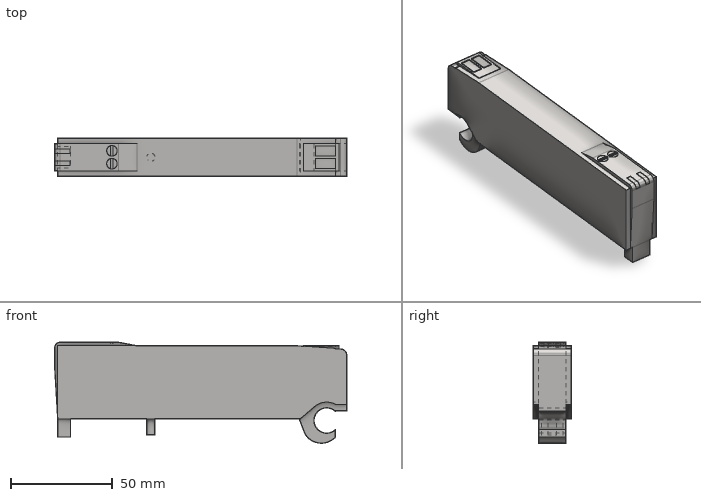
import cadquery as cq
import math

body_width = 18.8
body_left = 1.5
body_right = 143.8
body_bottom = 12.1
body_top = 48.0
slope_start = 119.4
end_block_left = 138.2
slope_end_height = 46.7
end_block_top = 46.5
end_corner_radius = 3.2

inner_width = 13.5
bore_x = 133.9
bore_z = 11.2
bore_radius = 6.2
neck_radius = 9.0
arch_start_x = 127.5
hook_root_x = 121.0
hook_shoulder = (120.5, 11.5)
claw_x = 131.3
claw_radius = 9.42
claw_start_z = 4.7
ledge_bottom = 16.0
ledge_top = 19.0

cover_top = 49.8
cover_flat_end = 31.5
cover_slope_end = 40.5
cover_bend_z = 36.7
cover_corner_radius = 2.6
notch_length = 7.6
notch_width = 2.3
notch_spacing = 6.0
notch_depth = 0.1
screw_x = 28.2
screw_spacing = 6.3
screw_diameter = 5.2
screw_recess = 0.1
screw_slot_width = 1.3
screw_slot_depth = 0.6

terminal_left = 122.5
terminal_right = 140.0
terminal_bottom = 44.6
window_left = 128.3
window_right = end_block_left
window_width = 4.9
window_spacing = 6.2
window_depth = 0.5

foot_length = 6.5
foot_width = 10.8
foot_bottom = 3.0
pin_x = 47.3
pin_diameter = 4.0
pin_bottom = 4.2


def circle_point(center_x, center_z, radius, degrees):
    angle = math.radians(degrees)
    return (center_x + radius * math.cos(angle), center_z + radius * math.sin(angle))


def extrude_across(profile, width):
    """Extrude a closed XZ profile symmetrically about the plane Y = 0."""
    return profile.close().extrude(width / 2, both=True)


def box_between(x_range, z_range, width, center_y=0):
    length = x_range[1] - x_range[0]
    height = z_range[1] - z_range[0]
    corner = (x_range[0], center_y - width / 2, z_range[0])
    return cq.Workplane("XY").box(length, width, height, centered=False).translate(corner)


def add_arch(profile):
    """Trace the arch over the hook from the end block back to the hook root."""
    arch_end_x = bore_x + math.sqrt(neck_radius**2 - (ledge_top - bore_z)**2)
    arch_start_z = bore_z + math.sqrt(neck_radius**2 - (arch_start_x - bore_x)**2)
    return (
        profile.lineTo(arch_end_x, ledge_top)
        .threePointArc((bore_x, bore_z + neck_radius), (arch_start_x, arch_start_z))
        .lineTo(hook_root_x, body_bottom)
    )


def make_body():
    corner_x = body_right - end_corner_radius
    corner_z = end_block_top - end_corner_radius
    profile = (
        cq.Workplane("XZ")
        .moveTo(body_left, body_bottom)
        .lineTo(body_left, body_top)
        .lineTo(slope_start, body_top)
        .lineTo(end_block_left, slope_end_height)
        .lineTo(end_block_left, end_block_top)
        .lineTo(corner_x, end_block_top)
        .threePointArc(
            circle_point(corner_x, corner_z, end_corner_radius, 45),
            (body_right, corner_z),
        )
        .lineTo(body_right, ledge_top)
    )
    return extrude_across(add_arch(profile), body_width)


def make_hook():
    claw_start_x = claw_x - math.sqrt(claw_radius**2 - (claw_radius - claw_start_z)**2)
    claw_tip_z = claw_radius - math.sqrt(claw_radius**2 - (end_block_left - claw_x)**2)
    mouth_half_height = math.sqrt(bore_radius**2 - (end_block_left - bore_x)**2)
    profile = (
        cq.Workplane("XZ")
        .moveTo(end_block_left, bore_z + mouth_half_height)
        .lineTo(end_block_left, ledge_bottom)
        .lineTo(body_right, ledge_bottom)
        .lineTo(body_right, ledge_top)
    )
    profile = (
        add_arch(profile)
        .lineTo(*hook_shoulder)
        .lineTo(claw_start_x, claw_start_z)
        .threePointArc((claw_x, 0), (end_block_left, claw_tip_z))
        .lineTo(end_block_left, bore_z - mouth_half_height)
        .threePointArc(
            (bore_x - bore_radius, bore_z),
            (end_block_left, bore_z + mouth_half_height),
        )
    )
    return extrude_across(profile, inner_width)


def cover_blank(inset=0):
    """Cover with a rounded nose; inset moves its top and nose inwards."""
    top = cover_top - inset
    nose = inset
    radius = cover_corner_radius - inset
    profile = (
        cq.Workplane("XZ")
        .moveTo(body_left, body_bottom)
        .lineTo(nose, cover_bend_z)
        .lineTo(nose, top - radius)
        .threePointArc(
            circle_point(nose + radius, top - radius, radius, 135),
            (nose + radius, top),
        )
        .lineTo(cover_flat_end, top)
        .lineTo(cover_slope_end, body_top)
        .lineTo(cover_slope_end, body_bottom)
    )
    return extrude_across(profile, inner_width)


def make_cover():
    cover = cover_blank()
    skin = cover.cut(cover_blank(notch_depth))
    notch_bottom = cover_top - cover_corner_radius
    for side in (-1, 1):
        notch = box_between(
            (0, notch_length), (notch_bottom, cover_top), notch_width, side * notch_spacing / 2
        )
        cover = cover.cut(skin.intersect(notch))

        screw_y = side * screw_spacing / 2
        recess = (
            cq.Workplane("XY", origin=(screw_x, screw_y, cover_top))
            .circle(screw_diameter / 2)
            .extrude(-screw_slot_depth)
        )
        slot = box_between(
            (screw_x - screw_slot_width / 2, screw_x + screw_slot_width / 2),
            (cover_top - screw_slot_depth, cover_top),
            screw_diameter,
            screw_y,
        )
        head = recess.translate((0, 0, screw_slot_depth - screw_recess))
        cover = cover.cut(head).cut(slot.intersect(recess))
    return cover


def make_terminal_block():
    return box_between((terminal_left, terminal_right), (terminal_bottom, body_top), inner_width)


def make_window(side):
    return box_between(
        (window_left, window_right),
        (body_top - window_depth, body_top),
        window_width,
        side * window_spacing / 2,
    )


def make_foot():
    return box_between((body_left, body_left + foot_length), (foot_bottom, body_bottom), foot_width)


def make_pin():
    return (
        cq.Workplane("XY", origin=(pin_x, 0, pin_bottom))
        .circle(pin_diameter / 2)
        .extrude(body_bottom - pin_bottom)
    )


result = make_body()
for piece in (make_hook(), make_cover(), make_terminal_block(), make_foot(), make_pin()):
    result = result.union(piece)
for window_side in (-1, 1):
    result = result.cut(make_window(window_side))